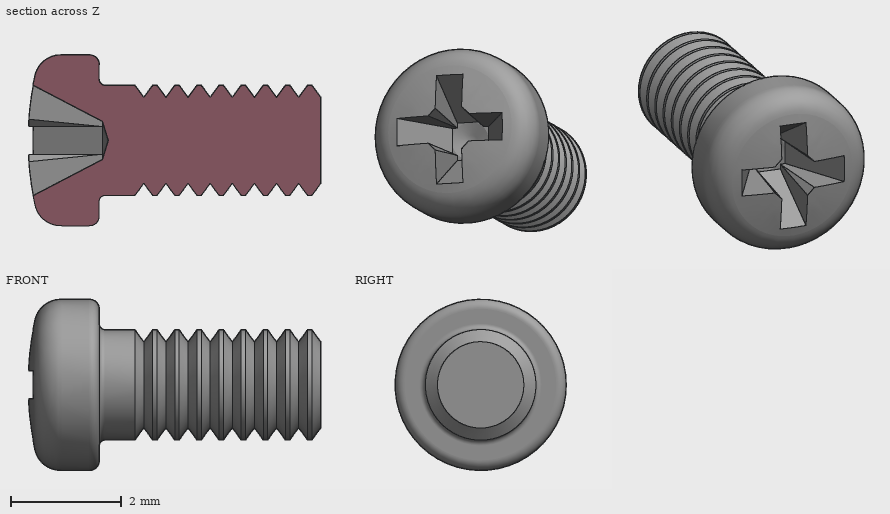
import cadquery as cq
import math

total_length = 5.28
head_diameter = 3.1
shank_diameter = 2.0
head_height = 1.28

crown_radius = 5.385
crown_offset = 0.019
crown_edge_radius = 1.17
shoulder_start = 0.595
rim_fillet = 0.18
neck_fillet = 0.1

thread_length = 3.2
ring_count = 8
pitch = thread_length / ring_count
crest_width = 0.08
root_radius = 0.78

arm_width = 0.5
arm_reach = 1.0
arm_root = 0.345
recess_depth = 1.33
corner_cut_mouth = 0.45
corner_cut_floor = 0.355
recess_front = -0.055
tip_radius = arm_root
tip_depth = 0.105

head_radius = head_diameter / 2
shank_radius = shank_diameter / 2


def crown_x(radius):
    """X of the spherical crown at a distance from the axis."""
    return crown_radius - crown_offset - math.sqrt(crown_radius**2 - radius**2)


def arc_middle(center, radius, degrees):
    angle = math.radians(degrees)
    return center[0] + radius * math.cos(angle), center[1] + radius * math.sin(angle)


def make_blank():
    """Revolve the head, neck and thread rings about the X axis."""
    edge_x = crown_x(crown_edge_radius)
    rim_center = (head_height - rim_fillet, head_radius - rim_fillet)
    neck_center = (head_height + neck_fillet, shank_radius + neck_fillet)
    half_edge = crown_edge_radius / 2
    thread_start = total_length - thread_length
    flank_length = (pitch - crest_width) / 2

    profile = (
        cq.Workplane("XY")
        .moveTo(-crown_offset, 0)
        .threePointArc((crown_x(half_edge), half_edge), (edge_x, crown_edge_radius))
        .tangentArcPoint((shoulder_start, head_radius), relative=False)
        .lineTo(rim_center[0], head_radius)
        .threePointArc(arc_middle(rim_center, rim_fillet, 45), (head_height, rim_center[1]))
        .lineTo(head_height, neck_center[1])
        .threePointArc(arc_middle(neck_center, neck_fillet, 225), (neck_center[0], shank_radius))
        .lineTo(thread_start - flank_length, shank_radius)
        .lineTo(thread_start, root_radius)
    )
    for ring in range(ring_count):
        ring_start = thread_start + ring * pitch
        crest_start = ring_start + flank_length
        profile = (
            profile.lineTo(crest_start, shank_radius)
            .lineTo(crest_start + crest_width, shank_radius)
            .lineTo(ring_start + pitch, root_radius)
        )
    return profile.lineTo(total_length, 0).close().revolve(360, (0, 0, 0), (1, 0, 0))


def tapered_square(front_half, floor_half):
    """Square frustum along X, from just in front of the head to the recess floor."""
    return (
        cq.Workplane("YZ", origin=(recess_front, 0, 0))
        .rect(2 * front_half, 2 * front_half)
        .workplane(offset=recess_depth - recess_front)
        .rect(2 * floor_half, 2 * floor_half)
        .loft(ruled=True)
    )


def make_cross():
    """Crossed arms with sloping ends, and flats across their inner corners."""
    mouth_x = crown_x(arm_reach)
    end_slope = (arm_reach - arm_root) / (recess_depth - mouth_x)
    front_reach = arm_reach + end_slope * (mouth_x - recess_front)
    envelope = tapered_square(front_reach, arm_root)

    flat_slope = (corner_cut_mouth - corner_cut_floor) / recess_depth
    front_flat = corner_cut_mouth - flat_slope * recess_front
    corner_cut = tapered_square(front_flat, corner_cut_floor).rotate((0, 0, 0), (1, 0, 0), 45)

    bar_size = (2 * total_length, head_diameter, arm_width)
    bar = cq.Workplane("XY").box(*bar_size)
    crossed_bars = bar.union(bar.rotate((0, 0, 0), (1, 0, 0), 90))
    return crossed_bars.union(corner_cut).intersect(envelope)


def make_tip():
    """Conical bottom of the recess."""
    return (
        cq.Workplane("XY")
        .polyline([(recess_depth, 0), (recess_depth, tip_radius), (recess_depth + tip_depth, 0)])
        .close()
        .revolve(360, (0, 0, 0), (1, 0, 0))
    )


recess = make_cross().union(make_tip())
result = make_blank().cut(recess)